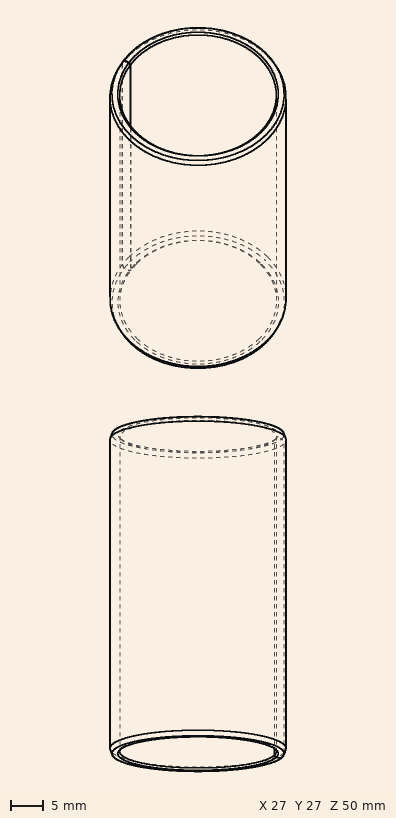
import cadquery as cq

length = 50.0
outer_diameter = 27.0
wall = 1.5
seam_width = 0.1

lead_in_length = 0.8
lead_in_depth = 0.3
bore_chamfer = 0.3

outer_radius = outer_diameter / 2
bore_radius = outer_radius - wall


def make_sleeve():
    """Revolve the wall section, chamfered at both ends, about Z."""
    half_length = length / 2
    upper_half = [
        (bore_radius, 0),
        (outer_radius, 0),
        (outer_radius, half_length - lead_in_length),
        (outer_radius - lead_in_depth, half_length),
        (bore_radius + bore_chamfer, half_length),
        (bore_radius, half_length - bore_chamfer),
    ]
    half_sleeve = cq.Workplane("XZ").polyline(upper_half).close().revolve(360, (0, 0), (0, 1))
    return half_sleeve.union(half_sleeve.mirror("XY")).clean()


def make_seam():
    """Thin radial slab that cuts through the -X wall only."""
    return cq.Workplane("XY").box(outer_diameter, seam_width, length).translate((-outer_radius, 0, 0))


result = make_sleeve().cut(make_seam())